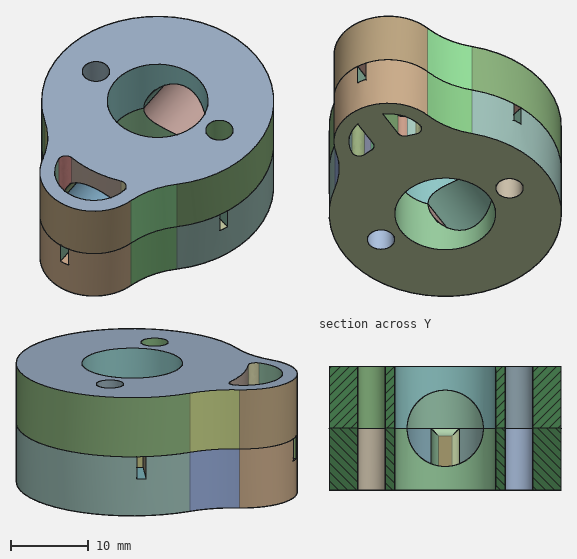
import cadquery as cq
import math

half_height = 8.0
total_height = 2 * half_height

housing_radius = 15.0
lug_radius = 7.0
lug_tip_y = -22.0
lug_center_y = lug_tip_y + lug_radius
blend_radius = 11.47

center_hole_diameter = 13.0
screw_hole_diameter = 3.5
screw_hole_x = 9.5

bore_diameter = 9.85

pocket_wall = 1.92
pocket_radius = lug_radius - pocket_wall
pocket_back_radius = housing_radius
pocket_corner_radius = 1.0

post_width = 3.7
flare_radius = 1.0
post_end_radius = 1.0

slot_width = 1.22
slot_height = 3.0
slot_length = 5.0
side_slot_angle = 22.2


def disk(radius, y, height):
    return cq.Workplane("XY").center(0, y).circle(radius).extrude(height)


def outline_block():
    """Full-height block whose outline is two arcs joined by tangent concave blends."""
    center_distance = -lug_center_y
    housing_to_blend = housing_radius + blend_radius
    lug_to_blend = lug_radius + blend_radius
    blend_y = -(housing_to_blend**2 + center_distance**2 - lug_to_blend**2) / (2 * center_distance)
    blend_x = math.sqrt(housing_to_blend**2 - blend_y**2)

    housing_share = housing_radius / housing_to_blend
    housing_x = blend_x * housing_share
    housing_y = blend_y * housing_share
    lug_share = lug_radius / lug_to_blend
    lug_x = blend_x * lug_share
    lug_y = lug_center_y + (blend_y - lug_center_y) * lug_share

    chord_x = (housing_x + lug_x) / 2 - blend_x
    chord_y = (housing_y + lug_y) / 2 - blend_y
    chord_distance = math.hypot(chord_x, chord_y)
    middle_x = blend_x + chord_x * blend_radius / chord_distance
    middle_y = blend_y + chord_y * blend_radius / chord_distance

    return (
        cq.Workplane("XY")
        .moveTo(housing_x, housing_y)
        .threePointArc((0, housing_radius), (-housing_x, housing_y))
        .threePointArc((-middle_x, middle_y), (-lug_x, lug_y))
        .threePointArc((0, lug_tip_y), (lug_x, lug_y))
        .threePointArc((middle_x, middle_y), (housing_x, housing_y))
        .close()
        .extrude(total_height)
    )


def pocket():
    """Crescent between the lug's inner circle and the pocket's curved back wall."""
    crescent = disk(pocket_radius, lug_center_y, total_height).cut(disk(pocket_back_radius, 0, total_height))
    return crescent.edges("|Z").fillet(pocket_corner_radius)


def hollow_block():
    """Outline block with every opening that passes through both halves."""
    center_hole = disk(center_hole_diameter / 2, 0, total_height)
    screw_holes = (
        cq.Workplane("XY")
        .pushPoints([(-screw_hole_x, 0), (screw_hole_x, 0)])
        .circle(screw_hole_diameter / 2)
        .extrude(total_height)
    )
    bore = (
        cq.Workplane("XZ", origin=(0, housing_radius, half_height))
        .circle(bore_diameter / 2)
        .extrude(housing_radius + pocket_back_radius)
    )
    return outline_block().cut(center_hole).cut(screw_holes).cut(bore).cut(pocket())


def half_slab(bottom):
    """Slab of one half's height, wide enough to cover the whole part."""
    size = 4 * housing_radius
    return cq.Workplane("XY", origin=(0, 0, bottom)).box(size, size, half_height, centered=(True, True, False))


def post_bar():
    """Plain bar from the lug tip to the back wall of the pocket."""
    length = -lug_tip_y - pocket_back_radius
    return (
        cq.Workplane("XY", origin=(0, lug_tip_y, 0))
        .box(post_width, length, half_height, centered=(True, False, False))
    )


def post_base():
    """Foot of the post below the bore, flared sideways into the pocket's back wall."""
    back_wall = disk(pocket_back_radius, 0, half_height)
    inner_bar = cq.Workplane("XY").box(
        post_width, 2 * pocket_back_radius, half_height, centered=(True, True, False)
    )
    joined = back_wall.union(post_bar()).union(inner_bar)
    joint_box = cq.selectors.BoxSelector(
        (-post_width, -pocket_back_radius, 0),
        (post_width, -pocket_back_radius + flare_radius, half_height),
    )
    flared = joined.edges("|Z").edges(joint_box).fillet(flare_radius)
    bore = cq.Workplane("XZ", origin=(0, 0, half_height)).circle(bore_diameter / 2).extrude(-lug_tip_y)
    return flared.cut(back_wall).cut(bore).intersect(pocket())


def post():
    """Post across the pocket; its free back end, facing the bore, is rounded on top and both sides."""
    back_edges = post_bar().faces(">Y").edges("not(<Z)")
    return back_edges.fillet(post_end_radius).intersect(pocket()).union(post_base())


def slot(outer_radius, angle):
    """Radial slot, open at the outer wall and at the top of the lower half."""
    return (
        cq.Workplane("XY", origin=(0, 0, half_height - slot_height))
        .box(slot_length, slot_width, slot_height, centered=(False, True, False))
        .translate((outer_radius - slot_length, 0, 0))
        .rotate((0, 0, 0), (0, 0, 1), angle)
    )


def make_upper_half():
    return hollow_block().intersect(half_slab(half_height))


def make_lower_half():
    body = hollow_block().intersect(half_slab(0)).union(post())
    body = body.cut(slot(-lug_tip_y, -90))
    for angle in (-side_slot_angle, 180 + side_slot_angle):
        body = body.cut(slot(housing_radius, angle))
    return body


upper_half = make_upper_half()
lower_half = make_lower_half()

result = cq.Compound.makeCompound([upper_half.val(), lower_half.val()])